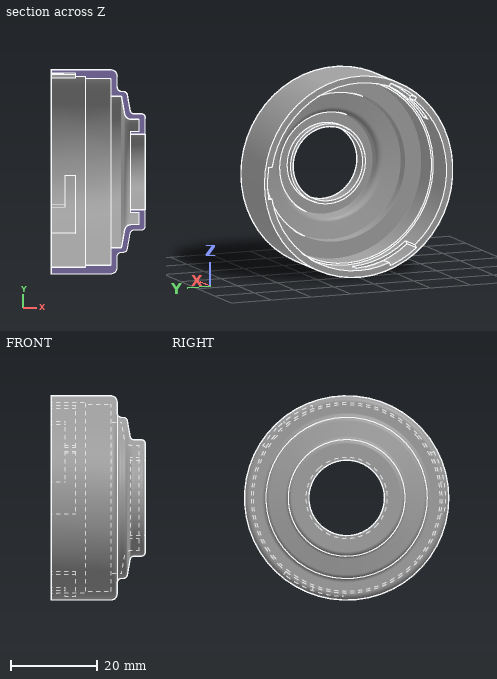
import cadquery as cq
import math

total_length = 21.8
cone_slope = math.tan(math.radians(10))

body_radius = 23.65
body_length = 15.3
body_fillet = 1.5
shoulder_radius = 18.65
shoulder_fillet = 1.0
collar_radius = 13.5
collar_root_fillet = 0.85
collar_end_fillet = 1.0
outer_cone_start = 17.52
outer_cone_end = outer_cone_start + (shoulder_radius - collar_radius) * cone_slope

mouth_radius = 22.05
mouth_depth = 7.9
cavity_radius = 21.6
cavity_depth = 13.8
recess_radius = 17.5
inner_cone_start = 16.25
pocket_radius = 12.15
pocket_depth = 20.3
pocket_mouth_fillet = 1.63
inner_cone_end = inner_cone_start + (recess_radius - pocket_radius) * cone_slope
corner_fillet = 0.1
bore_radius = 8.7
sleeve_radius = 9.4
sleeve_start = 18.3

slot_count = 3
slot_floor_radius = 22.85
entry_width = 7.45
channel_start = 3.2
channel_end = 5.6
channel_sweep = 28.0


def tangent_arc(before, corner, after, radius):
    """Return start, middle and end of the arc that rounds a corner."""
    length_in = math.dist(corner, before)
    length_out = math.dist(corner, after)
    dir_in = [(b - c) / length_in for b, c in zip(before, corner)]
    dir_out = [(a - c) / length_out for a, c in zip(after, corner)]
    half_angle = math.acos(dir_in[0] * dir_out[0] + dir_in[1] * dir_out[1]) / 2
    setback = radius / math.tan(half_angle)
    bisector = [i + o for i, o in zip(dir_in, dir_out)]
    middle_distance = radius / math.sin(half_angle) - radius
    middle_scale = middle_distance / math.hypot(*bisector)
    start = tuple(c + d * setback for c, d in zip(corner, dir_in))
    middle = tuple(c + b * middle_scale for c, b in zip(corner, bisector))
    end = tuple(c + d * setback for c, d in zip(corner, dir_out))
    return start, middle, end


def revolve_about_x(outline, angle=360):
    return outline.close().revolve(angle, (0, 0, 0), (1, 0, 0))


def make_body():
    """Revolve the wall section; each corner is (x, radius, fillet)."""
    corners = [
        (0, mouth_radius, 0),
        (0, body_radius, 0),
        (body_length, body_radius, body_fillet),
        (body_length, shoulder_radius, shoulder_fillet),
        (outer_cone_start, shoulder_radius, shoulder_fillet),
        (outer_cone_end, collar_radius, collar_root_fillet),
        (total_length, collar_radius, collar_end_fillet),
        (total_length, bore_radius, 0),
        (sleeve_start, bore_radius, 0),
        (sleeve_start, sleeve_radius, 0),
        (pocket_depth, sleeve_radius, 0),
        (pocket_depth, pocket_radius, corner_fillet),
        (inner_cone_end, pocket_radius, pocket_mouth_fillet),
        (inner_cone_start, recess_radius, corner_fillet),
        (cavity_depth, recess_radius, corner_fillet),
        (cavity_depth, cavity_radius, corner_fillet),
        (mouth_depth, cavity_radius, 0),
        (mouth_depth, mouth_radius, 0),
    ]
    outline = cq.Workplane("XY").moveTo(0, mouth_radius)
    for index in range(1, len(corners)):
        x, radius, fillet = corners[index]
        if fillet == 0:
            outline = outline.lineTo(x, radius)
            continue
        before = corners[index - 1][:2]
        after = corners[(index + 1) % len(corners)][:2]
        start, middle, end = tangent_arc(before, (x, radius), after, fillet)
        outline = outline.lineTo(*start).threePointArc(middle, end)
    return revolve_about_x(outline)


def make_slot():
    """Cutter for the slot whose entry is centred on +Y; its channel runs toward +Z."""
    entry_limit = cq.Workplane("XY").box(
        channel_end, slot_floor_radius, entry_width, centered=(False, False, True)
    )
    entry = cq.Workplane("YZ").circle(slot_floor_radius).extrude(channel_end).intersect(entry_limit)
    channel_outline = (
        cq.Workplane("XY")
        .moveTo(channel_start, cavity_radius)
        .lineTo(channel_end, cavity_radius)
        .lineTo(channel_end, slot_floor_radius)
        .lineTo(channel_start, slot_floor_radius)
    )
    channel = revolve_about_x(channel_outline, channel_sweep)
    return entry.union(channel)


def cut_slots(body):
    slot = make_slot()
    for index in range(slot_count):
        body = body.cut(slot.rotate((0, 0, 0), (1, 0, 0), index * 360 / slot_count))
    return body


result = cut_slots(make_body())